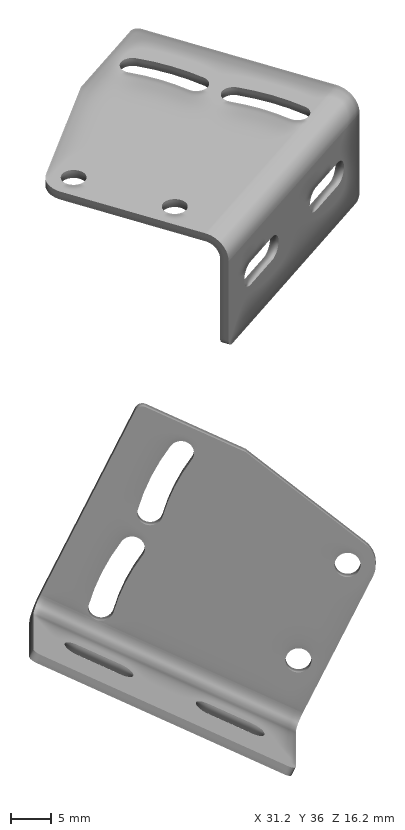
import cadquery as cq
import math

width = 31.2
length = 36.0
height = 16.2
thickness = 1.2
bend_outer_radius = 3.2
bend_inner_radius = bend_outer_radius - thickness

small_corner_radius = 1.0
taper_start_y = 21.3
pivot_corner_radius = 3.5

hole_diameter = 3.2
pivot_x = 8.0
pivot_y = pivot_corner_radius
pivot_spacing = 14.0
arc_slot_radius = 25.35
arc_slot_half_angle = 10.0
arc_slot_width = hole_diameter

flange_slot_length = 9.45
flange_slot_width = 3.5
flange_slot_z = 7.5
flange_slot_spacing = 18.0


def bent_sheet():
    """L-shaped sheet with a rounded bend along its +X, +Z edge."""
    sheet = (
        cq.Workplane("XZ")
        .moveTo(0, height)
        .lineTo(width, height)
        .lineTo(width, 0)
        .lineTo(width - thickness, 0)
        .lineTo(width - thickness, height - thickness)
        .lineTo(0, height - thickness)
        .close()
        .extrude(-length)
    )
    inner_edge = cq.selectors.NearestToPointSelector(
        (width - thickness, length / 2, height - thickness)
    )
    outer_edge = cq.selectors.NearestToPointSelector((width, length / 2, height))
    sheet = sheet.edges(inner_edge).fillet(bend_inner_radius)
    return sheet.edges(outer_edge).fillet(bend_outer_radius)


def plate_outline():
    """Full-height prism of the plan outline, tapered beside the pivot corner."""
    to_corner_x = pivot_x
    to_corner_y = pivot_y - taper_start_y
    distance = math.hypot(to_corner_x, to_corner_y)
    taper_angle = math.atan2(to_corner_y, to_corner_x) - math.asin(pivot_corner_radius / distance)
    normal_angle = taper_angle - math.pi / 2
    middle_angle = (normal_angle - math.pi / 2) / 2

    def on_corner(angle):
        return (
            pivot_x + pivot_corner_radius * math.cos(angle),
            pivot_y + pivot_corner_radius * math.sin(angle),
        )

    outline = (
        cq.Workplane("XY")
        .moveTo(0, length)
        .lineTo(0, taper_start_y)
        .lineTo(*on_corner(normal_angle))
        .threePointArc(on_corner(middle_angle), (pivot_x, 0))
        .lineTo(width, 0)
        .lineTo(width, length)
        .close()
        .extrude(height)
    )
    return outline.edges(
        cq.selectors.NearestToPointSelector((0, length, height / 2))
    ).fillet(small_corner_radius)


def arc_slot(center_x):
    """Round-ended slot cutter that follows an arc about a pivot hole."""
    inner_radius = arc_slot_radius - arc_slot_width / 2
    outer_radius = arc_slot_radius + arc_slot_width / 2

    def polar(radius, degrees):
        angle = math.radians(degrees)
        return (center_x + radius * math.sin(angle), pivot_y + radius * math.cos(angle))

    def end_tip(side):
        x, y = polar(arc_slot_radius, side * arc_slot_half_angle)
        angle = math.radians(arc_slot_half_angle)
        reach = arc_slot_width / 2
        return (x + side * reach * math.cos(angle), y - reach * math.sin(angle))

    return (
        cq.Workplane("XY")
        .moveTo(*polar(outer_radius, -arc_slot_half_angle))
        .threePointArc(polar(outer_radius, 0), polar(outer_radius, arc_slot_half_angle))
        .threePointArc(end_tip(1), polar(inner_radius, arc_slot_half_angle))
        .threePointArc(polar(inner_radius, 0), polar(inner_radius, -arc_slot_half_angle))
        .threePointArc(end_tip(-1), polar(outer_radius, -arc_slot_half_angle))
        .close()
        .extrude(height)
    )


def pivot_hole(center_x):
    return cq.Workplane("XY").center(center_x, pivot_y).circle(hole_diameter / 2).extrude(height)


def flange_slots():
    """Pair of straight slot cutters, placed evenly about the middle of the flange."""
    half_spacing = flange_slot_spacing / 2
    return (
        cq.Workplane("YZ", origin=(width - thickness, length / 2, flange_slot_z))
        .pushPoints([(-half_spacing, 0), (half_spacing, 0)])
        .slot2D(flange_slot_length, flange_slot_width)
        .extrude(thickness)
    )


bracket = bent_sheet().intersect(plate_outline())
bracket = bracket.edges("|X and <Z").fillet(small_corner_radius)
for center_x in (pivot_x, pivot_x + pivot_spacing):
    bracket = bracket.cut(pivot_hole(center_x))
    bracket = bracket.cut(arc_slot(center_x))

result = bracket.cut(flange_slots())